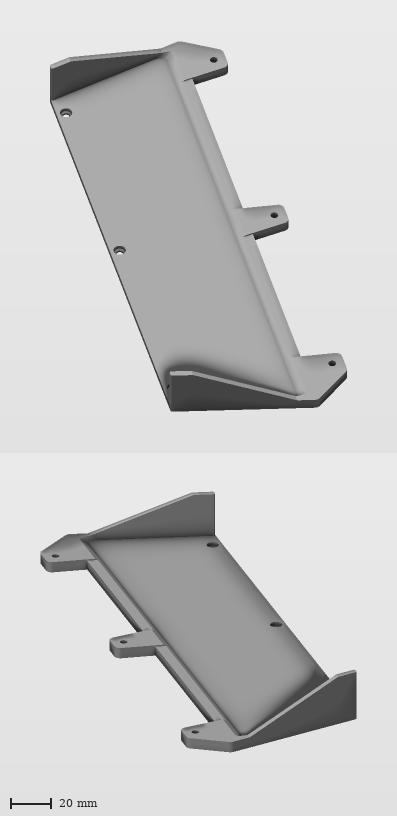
import cadquery as cq
import math

depth = 90.0
wall_height = 25.5
plate_thickness = 3.0
bar_height = 4.8
tab_height = 5.5

front_half_width = 110.0
splay = 0.24
wall_thickness = 3.0
wall_top_length = 10.7
wall_slope_end = 60.5
wall_end_radius = 0.9

bar_back = 70.5
step_start = 62.1
step_angle = math.radians(30)
pocket_corner_radius = 3.0

tab_hole_y = 84.0
tab_hole_diameter = 3.8
tab_half_width = 6.0
tab_taper = 0.14
tab_corner_radius = 3.0
left_tab_outer_width = 5.3
right_tab_outer_width = 6.3
left_tab_x = -110.0
right_tab_x = 105.0
left_tip_y = 71.0
right_tip_y = 70.5

front_hole_spacing = 97.5
front_hole_y = 4.8
front_hole_diameter = 3.3
counterbore_diameter = 6.0
counterbore_depth = 2.0


def outer_x(y):
    """Half width of the tray's outside at depth y."""
    return front_half_width + splay * y


def trapezoid(front, back, inset, height):
    """Prism between the two splayed sides, moved in by inset."""
    front_x = outer_x(front) - inset
    back_x = outer_x(back) - inset
    points = [(-front_x, front), (front_x, front), (back_x, back), (-back_x, back)]
    return cq.Workplane("XY").polyline(points).close().extrude(height)


def side_profile(points):
    """Prism across the whole width from an outline of (Y, Z) points."""
    return cq.Workplane("YZ").polyline(points).close().extrude(depth * 2, both=True)


def tab_flank(y):
    """Distance from the tab's hole to its tapered flank at depth y."""
    return tab_half_width + tab_taper * (depth - y)


def finish_tab(points, hole_x):
    """Raise a tab from its outline and round its vertical edges at the back."""
    tab = cq.Workplane("XY").polyline(points).close().extrude(tab_height)
    rounded_zone = cq.selectors.BoxSelector(
        (-depth * 2, wall_slope_end + 0.3, -2.5), (depth * 2, depth + 2.5, wall_height)
    )
    tab = tab.edges("|Z").edges(rounded_zone).fillet(tab_corner_radius)
    hole = (
        cq.Workplane("XY").center(hole_x, tab_hole_y)
        .circle(tab_hole_diameter / 2).extrude(tab_height)
    )
    return tab.cut(hole)


def middle_tab():
    front_x = tab_flank(step_start)
    points = [
        (-front_x, step_start), (front_x, step_start),
        (tab_half_width, depth), (-tab_half_width, depth),
    ]
    return finish_tab(points, 0)


def corner_tab(side, hole_x, outer_width, tip_y):
    """Tab with a tapered inner flank and an outer flank running to the wall."""
    points = [
        (hole_x - side * tab_half_width, depth),
        (hole_x + side * outer_width, depth),
        (side * outer_x(tip_y), tip_y),
        (side * outer_x(wall_slope_end), wall_slope_end),
        (hole_x - side * tab_flank(wall_slope_end), wall_slope_end),
    ]
    return finish_tab(points, hole_x)


def pocket():
    """Space between the walls, with a sloped back and rounded back corners."""
    top = wall_height + 2.5
    front = -2.5
    slope_top = step_start + (top - plate_thickness) / math.tan(step_angle)
    profile = side_profile([
        (front, plate_thickness), (step_start, plate_thickness),
        (slope_top, top), (front, top),
    ])
    space = profile.intersect(trapezoid(front, slope_top, wall_thickness, top))
    back_corners = space.faces(">Y").edges("<X or >X")
    return back_corners.fillet(pocket_corner_radius)


tray = trapezoid(0, wall_slope_end, 0, wall_height).intersect(side_profile([
    (0, 0), (wall_slope_end, 0), (wall_slope_end, tab_height),
    (wall_top_length, wall_height), (0, wall_height),
]))
tray = tray.union(trapezoid(0, bar_back, wall_thickness, bar_height))
tray = tray.union(middle_tab())
tray = tray.union(corner_tab(-1, left_tab_x, left_tab_outer_width, left_tip_y))
tray = tray.union(corner_tab(1, right_tab_x, right_tab_outer_width, right_tip_y))
tray = tray.cut(pocket())

front_zone = cq.selectors.BoxSelector((-depth * 2, -0.3, -2.5), (depth * 2, 0.3, wall_height))
tray = tray.edges("|Z").edges(front_zone).fillet(wall_end_radius)

result = (
    tray.copyWorkplane(cq.Workplane("XY", origin=(0, 0, plate_thickness)))
    .pushPoints([(side * front_hole_spacing, front_hole_y) for side in (-1, 0, 1)])
    .cboreHole(front_hole_diameter, counterbore_diameter, counterbore_depth)
)